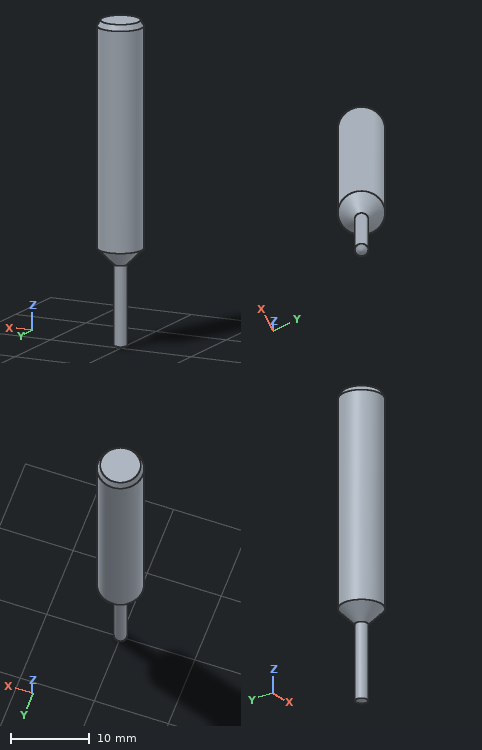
import cadquery as cq

total_length = 43.0
shank_radius = 3.0
cutter_radius = 0.85

tip_height = 0.35
cutter_length = 10.95
neck_height = shank_radius - cutter_radius
chamfer_height = 0.77
chamfer_width = 0.45


def make_shank():
    """Round shank with a chamfered top end and a tapered neck at the bottom."""
    neck_top = cutter_length + neck_height
    return (
        cq.Workplane("XZ")
        .moveTo(0, cutter_length)
        .lineTo(cutter_radius, cutter_length)
        .lineTo(shank_radius, neck_top)
        .lineTo(shank_radius, total_length - chamfer_height)
        .lineTo(shank_radius - chamfer_width, total_length)
        .lineTo(0, total_length)
        .close()
        .revolve(360, (0, 0), (0, 1))
    )


def make_cutter():
    """Slender round cutter with a shallow conical point, butted to the neck."""
    return (
        cq.Workplane("XZ")
        .lineTo(cutter_radius, tip_height)
        .lineTo(cutter_radius, cutter_length)
        .lineTo(0, cutter_length)
        .close()
        .revolve(360, (0, 0), (0, 1))
    )


shank = make_shank()
cutter = make_cutter()

result = cq.Compound.makeCompound([shank.val(), cutter.val()])